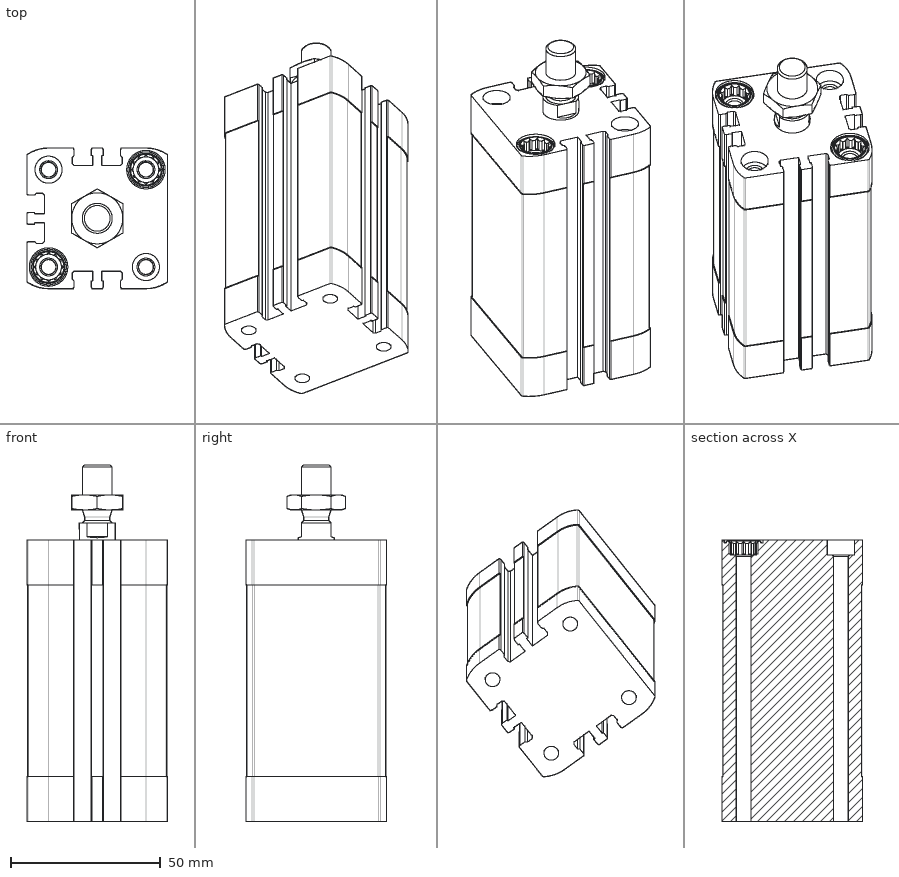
import cadquery as cq
import math

housing_width = 47.0
housing_height = 94.0
cap_height = 15.0
barrel_inset = 0.3
corner_start = 16.3
corner_radius = 12.5
corner_edge_fillet = 0.7

slot_spacing = 9.8
slot_mouth_width = 5.7
slot_mouth_depth = 2.6
slot_depth = 5.8
slot_inner_undercut = 0.5
slot_outer_undercut = 0.6
slot_bevel = 0.6
slot_lip_width = 0.2
slot_lip_depth = 0.6
slot_side_angles = (0, 90, 180)

hole_spacing = 32.5
hole_offset = hole_spacing / 2
through_diameter = 4.9
countersink_diameter = 6.0
seat_depth = 5.0
counterbore_diameter = 9.0

socket_bore_diameter = 12.9
socket_bore_depth = 1.0
socket_rim_diameter = 11.9
socket_rim_depth = 0.4
socket_rim_chamfer = 0.5
socket_mouth_diameter = 10.2
socket_diameter = 8.6
spline_count = 12
spline_root_diameter = 9.8
spline_depth = 4.6
spline_mouth_width = 1.2

rod_length = 25.0
shoulder_diameter = 12.0
shoulder_height = 5.7
flat_width = 10.0
flat_start = 0.7
flat_ledge_rise = 0.4
thread_diameter = 10.0
neck_diameter = 8.5
neck_top = 7.6
runout_top = 10.0
rod_tip_chamfer = 0.7

nut_across_flats = 17.0
nut_thickness = 5.0
nut_bottom = housing_height + runout_top
nut_chamfer_angle = 20


def outline_solid(inset, z_bottom, height):
    """Square block with four shallow rounded corners, drawn inwards by `inset`."""
    half = housing_width / 2 - inset
    radius = corner_radius - inset
    centre_y = half - radius
    reach = half - corner_start
    edge_y = centre_y + math.sqrt(radius**2 - reach**2)
    half_angle = math.asin(reach / radius) / 2
    mid_x = corner_start + radius * math.sin(half_angle)
    mid_y = centre_y + radius * math.cos(half_angle)
    block = (
        cq.Workplane("XY", origin=(0, 0, z_bottom))
        .moveTo(-corner_start, half)
        .lineTo(corner_start, half)
        .threePointArc((mid_x, mid_y), (half, edge_y))
        .lineTo(half, -edge_y)
        .threePointArc((mid_x, -mid_y), (corner_start, -half))
        .lineTo(-corner_start, -half)
        .threePointArc((-mid_x, -mid_y), (-half, -edge_y))
        .lineTo(-half, edge_y)
        .threePointArc((-mid_x, mid_y), (-corner_start, half))
        .close()
        .extrude(height)
    )
    return block.edges("|Z").edges("<X or >X").fillet(corner_edge_fillet)


def slot_pair():
    """Cutter for the two mirrored T slots of the +Y side."""
    face = housing_width / 2
    mouth_inner = (slot_spacing - slot_mouth_width) / 2
    mouth_outer = mouth_inner + slot_mouth_width
    neck_y = face - slot_mouth_depth
    floor_y = face - slot_depth
    inner = mouth_inner - slot_inner_undercut
    outer = mouth_outer + slot_outer_undercut
    slot = (
        cq.Workplane("XY")
        .polyline([
            (mouth_inner - slot_lip_width, face),
            (mouth_inner, face - slot_lip_depth),
            (mouth_inner, neck_y),
            (inner, neck_y),
            (inner, floor_y),
            (outer - slot_bevel, floor_y),
            (outer, floor_y + slot_bevel),
            (outer, neck_y - slot_outer_undercut),
            (mouth_outer, neck_y),
            (mouth_outer, face - slot_lip_depth),
            (mouth_outer + slot_lip_width, face),
        ])
        .close()
        .extrude(housing_height)
    )
    return slot.union(slot.mirror("YZ"))


def disc(diameter, depth_top, depth_bottom):
    """Cylinder on the Z axis between two depths below the top face of the housing."""
    return (
        cq.Workplane("XY", origin=(0, 0, housing_height - depth_bottom))
        .circle(diameter / 2)
        .extrude(depth_bottom - depth_top)
    )


def funnel(top_diameter, bottom_diameter, depth_top):
    """45 degree cone that narrows downwards from a depth below the top face."""
    drop = (top_diameter - bottom_diameter) / 2
    top_z = housing_height - depth_top
    return (
        cq.Workplane("XZ")
        .polyline([
            (0, top_z),
            (top_diameter / 2, top_z),
            (bottom_diameter / 2, top_z - drop),
            (0, top_z - drop),
        ])
        .close()
        .revolve()
    )


def through_hole():
    """Full-height hole with a countersink at the seat."""
    return disc(through_diameter, 0, housing_height).union(
        funnel(countersink_diameter, through_diameter, seat_depth)
    )


def plain_hole():
    """Through hole with a cylindrical counterbore."""
    return through_hole().union(disc(counterbore_diameter, 0, seat_depth))


def spline_grooves():
    """V grooves around the socket wall, from the conical mouth down."""
    socket_r = socket_diameter / 2
    groove_top = socket_rim_depth + (socket_mouth_diameter - spline_root_diameter) / 2
    grooves = disc(socket_diameter, socket_rim_depth, seat_depth)
    groove = (
        cq.Workplane("XY", origin=(0, 0, housing_height - spline_depth))
        .polyline([
            (0, 0),
            (socket_r, -spline_mouth_width / 2),
            (spline_root_diameter / 2, 0),
            (socket_r, spline_mouth_width / 2),
        ])
        .close()
        .extrude(spline_depth - groove_top)
    )
    for i in range(spline_count):
        grooves = grooves.union(groove.rotate((0, 0, 0), (0, 0, 1), i * 360 / spline_count))
    return grooves


def rim_gap():
    """Ring-shaped gap around the chamfered rim of the socket."""
    rim = disc(socket_rim_diameter, socket_rim_depth, socket_bore_depth)
    rim = rim.faces(">Z").chamfer(socket_rim_chamfer)
    return disc(socket_bore_diameter, 0, socket_bore_depth).cut(rim)


def splined_hole():
    """Hole with a stepped rim and a conical mouth that leads into a splined socket."""
    mouth = funnel(socket_mouth_diameter, socket_diameter, socket_rim_depth)
    return through_hole().union(spline_grooves()).union(mouth).union(rim_gap())


def make_housing():
    barrel_height = housing_height - 2 * cap_height
    body = outline_solid(0, 0, cap_height)
    body = body.union(outline_solid(barrel_inset, cap_height, barrel_height))
    body = body.union(outline_solid(0, housing_height - cap_height, cap_height))
    for angle in slot_side_angles:
        body = body.cut(slot_pair().rotate((0, 0, 0), (0, 0, 1), angle))
    for side in (1, -1):
        body = body.cut(splined_hole().translate((side * hole_offset, side * hole_offset, 0)))
        body = body.cut(plain_hole().translate((side * hole_offset, -side * hole_offset, 0)))
    return body


def flat_cutter():
    """Cutter for the +Y wrench flat, with a sloping ledge at its lower end."""
    flat_y = flat_width / 2
    outer_y = shoulder_diameter / 2
    return (
        cq.Workplane("YZ")
        .polyline([
            (flat_y, flat_start + flat_ledge_rise),
            (outer_y, flat_start),
            (outer_y, shoulder_height),
            (flat_y, shoulder_height),
        ])
        .close()
        .extrude(shoulder_diameter / 2, both=True)
    )


def make_rod():
    """Turned rod standing on the top face, with two wrench flats on its shoulder."""
    thread_r = thread_diameter / 2
    neck_r = neck_diameter / 2
    groove = thread_r - neck_r
    rod = (
        cq.Workplane("XZ")
        .moveTo(0, 0)
        .lineTo(shoulder_diameter / 2, 0)
        .lineTo(shoulder_diameter / 2, shoulder_height)
        .lineTo(thread_r, shoulder_height)
        .lineTo(neck_r, shoulder_height + groove)
        .lineTo(neck_r, neck_top)
        .lineTo(thread_r, runout_top)
        .lineTo(thread_r, rod_length - rod_tip_chamfer)
        .lineTo(thread_r - rod_tip_chamfer, rod_length)
        .lineTo(0, rod_length)
        .close()
        .revolve()
    )
    cutter = flat_cutter()
    rod = rod.cut(cutter).cut(cutter.mirror("XZ"))
    return rod.translate((0, 0, housing_height))


def make_nut():
    """Hex nut with corners towards +-Y, both faces chamfered to a circle."""
    corner_r = nut_across_flats / math.sqrt(3)
    face_r = nut_across_flats / 2
    drop = (corner_r - face_r) * math.tan(math.radians(nut_chamfer_angle))
    hexagon = (
        cq.Workplane("XY")
        .polygon(6, 2 * corner_r)
        .extrude(nut_thickness)
        .rotate((0, 0, 0), (0, 0, 1), 90)
    )
    envelope = (
        cq.Workplane("XZ")
        .polyline([
            (0, 0),
            (face_r, 0),
            (corner_r, drop),
            (corner_r, nut_thickness - drop),
            (face_r, nut_thickness),
            (0, nut_thickness),
        ])
        .close()
        .revolve()
    )
    bore = cq.Workplane("XY").circle(thread_diameter / 2).extrude(nut_thickness)
    return hexagon.intersect(envelope).cut(bore).translate((0, 0, nut_bottom))


housing = make_housing().solids()
rod = make_rod().solids()
nut = make_nut().solids()

result = cq.Compound.makeCompound([housing.val(), rod.val(), nut.val()])